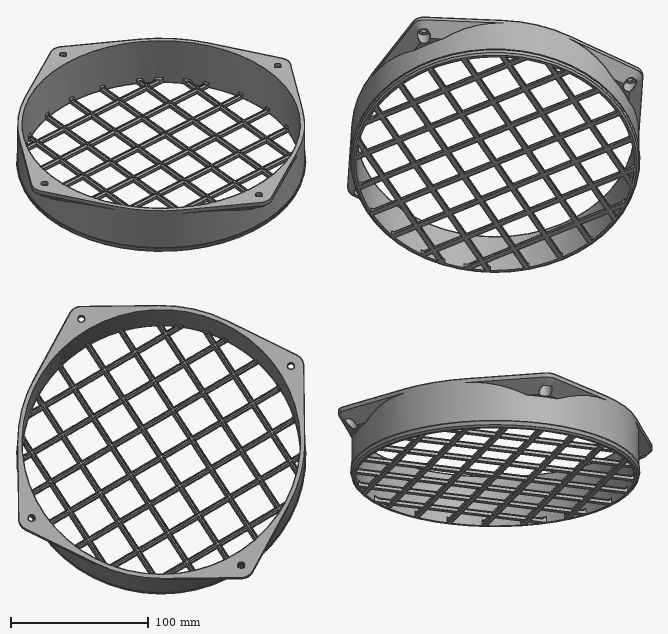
import cadquery as cq
import math

BODY_DIA = 209.55
BORE_DIA = 203.2
HEIGHT = 38.1
FLANGE_THICKNESS = 3.175

EAR_RADIUS = 9.525
EAR_HOLE_OFFSET = 6.35
EAR_COUNT = 4
SCREW_HOLE_DIA = 5.08
COUNTERBORE_DIA = 9.525

RIM_BEVEL = 1.4
LIP_OVERHANG = 0.794
LIP_HEIGHT = 4.4

BAR_WIDTH = 3.57
BAR_HEIGHT = 3.4
BAR_BEVEL = 1.19
RAMP_RISE = 1.0
BARS_EACH_WAY = 7

BODY_RADIUS = BODY_DIA / 2
BORE_RADIUS = BORE_DIA / 2
BAR_PITCH = BODY_DIA / (BARS_EACH_WAY + 1)
MID_WALL_RADIUS = (BODY_RADIUS + BORE_RADIUS) / 2
BAR_LENGTH = 2 * MID_WALL_RADIUS
EAR_HOLE_RADIUS = BODY_RADIUS + EAR_HOLE_OFFSET
FLANGE_BOTTOM = HEIGHT - FLANGE_THICKNESS
GUSSET_BOTTOM = FLANGE_BOTTOM - EAR_RADIUS
EDGE_ANGLE = math.acos((BODY_RADIUS - EAR_RADIUS) / EAR_HOLE_RADIUS)


def around_ears(shape):
    """Combine copies of a shape made on the +X ear, one for each ear."""
    copies = cq.Workplane("XY")
    for index in range(EAR_COUNT):
        copies = copies.union(shape.rotate((0, 0, 0), (0, 0, 1), index * 360 / EAR_COUNT))
    return copies


def make_wall():
    """Ring wall with a beveled snap lip around its bottom edge."""
    return (
        cq.Workplane("XZ")
        .moveTo(BORE_RADIUS, 0)
        .lineTo(BODY_RADIUS - RIM_BEVEL, 0)
        .lineTo(BODY_RADIUS, RIM_BEVEL)
        .lineTo(BODY_RADIUS + LIP_OVERHANG, LIP_HEIGHT)
        .lineTo(BODY_RADIUS, LIP_HEIGHT)
        .lineTo(BODY_RADIUS, HEIGHT)
        .lineTo(BORE_RADIUS, HEIGHT)
        .close()
        .revolve(360, (0, 0, 0), (0, 1, 0))
    )


def make_ear_plate():
    """Flange plate of the +X ear: a rounded tip with edges tangent to the wall."""
    normal_x = math.cos(EDGE_ANGLE)
    normal_y = math.sin(EDGE_ANGLE)
    tip_x = EAR_HOLE_RADIUS + EAR_RADIUS * normal_x
    tip_y = EAR_RADIUS * normal_y
    wall_x = BODY_RADIUS * normal_x
    wall_y = BODY_RADIUS * normal_y
    return (
        cq.Workplane("XY", origin=(0, 0, FLANGE_BOTTOM))
        .moveTo(0, 0)
        .lineTo(wall_x, -wall_y)
        .lineTo(tip_x, -tip_y)
        .threePointArc((EAR_HOLE_RADIUS + EAR_RADIUS, 0), (tip_x, tip_y))
        .lineTo(wall_x, wall_y)
        .close()
        .extrude(FLANGE_THICKNESS)
    )


def make_gusset():
    """Support under the +X ear, narrowing downward at 45 degrees on every side."""
    tip = cq.Workplane("XY").add(
        cq.Solid.makeCone(
            0, EAR_RADIUS, EAR_RADIUS, pnt=cq.Vector(EAR_HOLE_RADIUS, 0, GUSSET_BOTTOM)
        )
    )
    edge_distance = EAR_HOLE_RADIUS * math.cos(EDGE_ANGLE)
    edge_length = EAR_HOLE_RADIUS * math.sin(EDGE_ANGLE)
    foot_x = edge_distance * math.cos(EDGE_ANGLE)
    foot_y = edge_distance * math.sin(EDGE_ANGLE)
    core = (
        cq.Workplane("XY", origin=(0, 0, GUSSET_BOTTOM))
        .polyline([(0, 0), (foot_x, -foot_y), (EAR_HOLE_RADIUS, 0), (foot_x, foot_y)])
        .close()
        .extrude(EAR_RADIUS)
    )
    flank_plane = cq.Plane(
        origin=(EAR_HOLE_RADIUS, 0, GUSSET_BOTTOM),
        xDir=(math.cos(EDGE_ANGLE), math.sin(EDGE_ANGLE), 0),
        normal=(math.sin(EDGE_ANGLE), -math.cos(EDGE_ANGLE), 0),
    )
    flank = (
        cq.Workplane(flank_plane)
        .polyline([(0, 0), (EAR_RADIUS, EAR_RADIUS), (0, EAR_RADIUS)])
        .close()
        .extrude(-edge_length)
    )
    return core.union(flank).union(flank.mirror("XZ")).union(tip)


def make_ear_holes():
    """Screw hole and the counterbore below the flange on the +X ear."""
    screw_hole = (
        cq.Workplane("XY")
        .center(EAR_HOLE_RADIUS, 0)
        .circle(SCREW_HOLE_DIA / 2)
        .extrude(HEIGHT)
    )
    counterbore = (
        cq.Workplane("XY", origin=(0, 0, GUSSET_BOTTOM))
        .center(EAR_HOLE_RADIUS, 0)
        .circle(COUNTERBORE_DIA / 2)
        .extrude(EAR_RADIUS)
    )
    return screw_hole.union(counterbore)


def both_ways(bar):
    """Repeat a bar lying along X at the grid pitch, along X and along Y."""
    grid = cq.Workplane("XY")
    for index in range(BARS_EACH_WAY):
        offset = (index - (BARS_EACH_WAY - 1) / 2) * BAR_PITCH
        row = bar.translate((0, offset, 0))
        grid = grid.union(row).union(row.rotate((0, 0, 0), (0, 0, 1), 90))
    return grid


def make_grille():
    """Crossed bars with beveled tops whose ends ramp up where they meet the wall."""
    bar = (
        cq.Workplane("XY")
        .box(BAR_LENGTH, BAR_WIDTH, BAR_HEIGHT, centered=(True, True, False))
        .faces(">Z")
        .edges("|X")
        .chamfer(BAR_BEVEL)
    )
    trim_disc = cq.Workplane("XY").circle(MID_WALL_RADIUS).extrude(BAR_HEIGHT)
    bars = both_ways(bar).intersect(trim_disc)

    ramp_toe_radius = BORE_RADIUS - RAMP_RISE - BAR_BEVEL
    ramp_ring = (
        cq.Workplane("XZ")
        .moveTo(ramp_toe_radius, 0)
        .lineTo(ramp_toe_radius, BAR_HEIGHT - BAR_BEVEL)
        .lineTo(BORE_RADIUS, BAR_HEIGHT + RAMP_RISE)
        .lineTo(BORE_RADIUS, 0)
        .close()
        .revolve(360, (0, 0, 0), (0, 1, 0))
    )
    ramp_bar = cq.Workplane("XY").box(
        BAR_LENGTH, BAR_WIDTH, BAR_HEIGHT + RAMP_RISE, centered=(True, True, False)
    )
    return bars.union(both_ways(ramp_bar).intersect(ramp_ring))


bore = cq.Workplane("XY").circle(BORE_RADIUS).extrude(HEIGHT)
ears = around_ears(make_ear_plate().union(make_gusset())).cut(bore)

result = make_wall().union(ears).cut(around_ears(make_ear_holes())).union(make_grille())